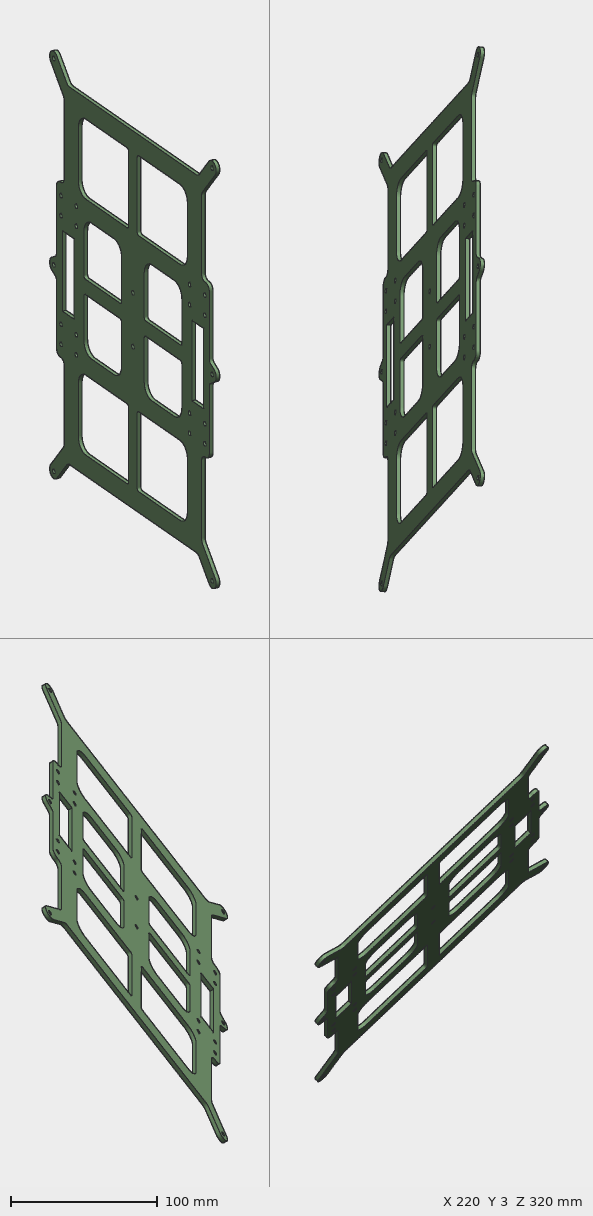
import cadquery as cq
import math

LENGTH = 320.0
WIDTH = 220.0
THICKNESS = 3.0

FRAME_HALF_WIDTH = 91.0
FRAME_HALF_HEIGHT = 141.5
FLANGE_HALF_WIDTH = 101.0
FLANGE_HALF_HEIGHT = 65.5
FLANGE_CORNER_RADIUS = 5.0
FLANGE_ROOT_RADIUS = 4.0

LUG_RADIUS = 5.5
LUG_X = WIDTH / 2 - LUG_RADIUS
CORNER_LUG_Z = LENGTH / 2 - LUG_RADIUS
ARM_ANGLE = 49.0
ARM_LENGTH = 32.0
ARM_ROOT_RADIUS = 5.0
EAR_FLANK_ANGLE = 30.0
EAR_ROOT_RADIUS = 3.0

RIB_HALF_WIDTH = 5.8
OUTER_WINDOW_SIDE = 72.0
OUTER_WINDOW_BOTTOM = 66.0
OUTER_WINDOW_TOP = 125.8
INNER_WINDOW_NEAR = 15.0
INNER_WINDOW_FAR = 64.5
INNER_WINDOW_TOP = 51.0
WINDOW_LARGE_RADIUS = 10.0
WINDOW_SMALL_RADIUS = 2.0

SLOT_NEAR = 78.0
SLOT_WIDTH = 15.0
SLOT_HEIGHT = 60.0

HOLE_DIAMETER = 3.2
FLANGE_HOLE_X = (75.0, 95.0)
FLANGE_HOLE_Z = (40.5, 55.7)
CENTRE_HOLE_Z = 20.0

SIGNS = (-1, 1)
QUADRANTS = [(sx, sz) for sx in SIGNS for sz in SIGNS]


def extrude(sketch):
    """Extrude an XZ sketch through the plate thickness, centred on Y = 0."""
    return sketch.extrude(THICKNESS / 2, both=True)


def block(x_min, x_max, z_min, z_max):
    """Plate-thick rectangular block between the given limits."""
    centre = ((x_min + x_max) / 2, (z_min + z_max) / 2)
    return extrude(cq.Workplane("XZ").center(*centre).rect(x_max - x_min, z_max - z_min))


def mirrored_pair(solid):
    """The solid together with its mirror image across X = 0."""
    return solid.union(solid.mirror("YZ"))


def four_copies(solid):
    """The solid repeated by symmetry in all four quadrants."""
    pair = mirrored_pair(solid)
    return pair.union(pair.mirror("XY"))


def fillet_at(body, points, radius):
    """Round the through-thickness edges that stand at the given (x, z) points."""
    for x, z in points:
        body = body.edges(cq.selectors.NearestToPointSelector((x, 0, z))).fillet(radius)
    return body


def corner_arm():
    """Straight arm with round ends, running inward into the frame from the upper right lug."""
    angle = math.radians(ARM_ANGLE)
    middle_x = LUG_X - ARM_LENGTH / 2 * math.cos(angle)
    middle_z = CORNER_LUG_Z - ARM_LENGTH / 2 * math.sin(angle)
    slot_length = ARM_LENGTH + 2 * LUG_RADIUS
    sketch = cq.Workplane("XZ").center(middle_x, middle_z).slot2D(slot_length, 2 * LUG_RADIUS, ARM_ANGLE)
    return extrude(sketch)


def arm_roots():
    """Points where the upper right arm meets the frame's top edge and side edge."""
    angle = math.radians(ARM_ANGLE)
    drop = CORNER_LUG_Z - FRAME_HALF_HEIGHT
    top_x = LUG_X - drop / math.tan(angle) - LUG_RADIUS / math.sin(angle)
    inset = LUG_X - FRAME_HALF_WIDTH
    side_z = CORNER_LUG_Z - inset * math.tan(angle) - LUG_RADIUS / math.cos(angle)
    return [(top_x, FRAME_HALF_HEIGHT), (FRAME_HALF_WIDTH, side_z)]


def ear_root_z():
    """Height at which an ear's sloping flank meets the flange edge."""
    angle = math.radians(EAR_FLANK_ANGLE)
    return LUG_RADIUS / math.cos(angle) + (LUG_X - FLANGE_HALF_WIDTH) * math.tan(angle)


def side_ear():
    """Right-hand ear: a round nose with flanks that spread toward the flange."""
    angle = math.radians(EAR_FLANK_ANGLE)
    tangent_x = LUG_X + LUG_RADIUS * math.sin(angle)
    tangent_z = LUG_RADIUS * math.cos(angle)
    root_z = ear_root_z()
    sketch = (
        cq.Workplane("XZ")
        .moveTo(FLANGE_HALF_WIDTH, -root_z)
        .lineTo(tangent_x, -tangent_z)
        .threePointArc((LUG_X + LUG_RADIUS, 0), (tangent_x, tangent_z))
        .lineTo(FLANGE_HALF_WIDTH, root_z)
        .close()
    )
    return extrude(sketch)


def plate_outline():
    """Solid plate with flanges, arms and ears, and all its outer corners rounded."""
    plate = block(-FRAME_HALF_WIDTH, FRAME_HALF_WIDTH, -FRAME_HALF_HEIGHT, FRAME_HALF_HEIGHT)
    plate = plate.union(
        block(-FLANGE_HALF_WIDTH, FLANGE_HALF_WIDTH, -FLANGE_HALF_HEIGHT, FLANGE_HALF_HEIGHT)
    )
    plate = plate.union(four_copies(corner_arm())).union(mirrored_pair(side_ear()))
    for sx, sz in QUADRANTS:
        roots = [(sx * x, sz * z) for x, z in arm_roots()]
        plate = fillet_at(plate, roots, ARM_ROOT_RADIUS)
        plate = fillet_at(plate, [(sx * FLANGE_HALF_WIDTH, sz * FLANGE_HALF_HEIGHT)], FLANGE_CORNER_RADIUS)
        plate = fillet_at(plate, [(sx * FRAME_HALF_WIDTH, sz * FLANGE_HALF_HEIGHT)], FLANGE_ROOT_RADIUS)
        plate = fillet_at(plate, [(sx * FLANGE_HALF_WIDTH, sz * ear_root_z())], EAR_ROOT_RADIUS)
    return plate


def outer_window():
    """Upper right outer window, with large radii on the side away from the centre rib."""
    window = block(RIB_HALF_WIDTH, OUTER_WINDOW_SIDE, OUTER_WINDOW_BOTTOM, OUTER_WINDOW_TOP)
    window = window.edges("|Y and >X").fillet(WINDOW_LARGE_RADIUS)
    return window.edges("|Y and <X").fillet(WINDOW_SMALL_RADIUS)


def inner_window():
    """Upper right inner window, with large radii on the side away from the cross rib."""
    window = block(INNER_WINDOW_NEAR, INNER_WINDOW_FAR, RIB_HALF_WIDTH, INNER_WINDOW_TOP)
    window = window.edges("|Y and >Z").fillet(WINDOW_LARGE_RADIUS)
    return window.edges("|Y and <Z").fillet(WINDOW_SMALL_RADIUS)


def flange_slots():
    """Sharp-cornered slots, one through each flange."""
    return mirrored_pair(block(SLOT_NEAR, SLOT_NEAR + SLOT_WIDTH, -SLOT_HEIGHT / 2, SLOT_HEIGHT / 2))


def screw_holes():
    """All screw holes: lugs, ears, flange groups and the centre pair."""
    points = [(sx * LUG_X, sz * CORNER_LUG_Z) for sx, sz in QUADRANTS]
    points += [(sx * LUG_X, 0) for sx in SIGNS]
    points += [(0, sz * CENTRE_HOLE_Z) for sz in SIGNS]
    for x in FLANGE_HOLE_X:
        for z in FLANGE_HOLE_Z:
            points += [(sx * x, sz * z) for sx, sz in QUADRANTS]
    return extrude(cq.Workplane("XZ").pushPoints(points).circle(HOLE_DIAMETER / 2))


result = (
    plate_outline()
    .cut(four_copies(outer_window()))
    .cut(four_copies(inner_window()))
    .cut(flange_slots())
    .cut(screw_holes())
)